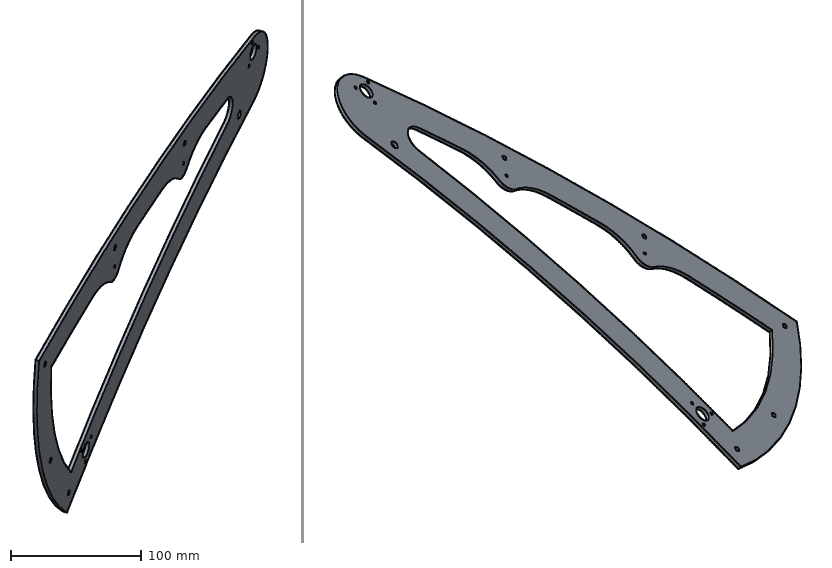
import cadquery as cq
import math


thickness = 3.175
length = 467.79
height = 208.55

frame_width = 28.575
mid_width = frame_width / 2
nose_radius = 33.34
nose_center_z = 37.7
top_radius = 1650.0
bottom_radius = 1236.0
end_radius = 238.125
end_center_z = 54.8
window_nose_radius = 13.1

lobe_radius = 12.7
lobe_blend_radius = 50.8
lobe_hole_drop = 19.05
lobe_places_u = (-65.4, 75.6)

bolt_hole_diameter = 4.04
pivot_hole_diameter = 6.35
hub_hole_diameter = 12.7
screw_hole_diameter = 2.38
screw_circle_radius = 11.4
screws_per_hub = 3
top_hub_u = -204.6
top_hub_screw_angle = 80.5
bottom_hub_u = 134.3
bottom_hub_screw_angle = 36.5
pivot_hole_u = -176.1
end_bolt_z = -21.8


def circle_crossing(center_a, radius_a, center_b, radius_b):
    """Crossing of two circles that lies to the right of the line from center a to center b."""
    du = center_b[0] - center_a[0]
    dz = center_b[1] - center_a[1]
    distance = math.hypot(du, dz)
    along = (radius_a**2 - radius_b**2 + distance**2) / (2 * distance)
    aside = math.sqrt(radius_a**2 - along**2)
    u = center_a[0] + (along * du + aside * dz) / distance
    z = center_a[1] + (along * dz - aside * du) / distance
    return (u, z)


def point_toward(center, target, radius):
    """Point at the given distance from center, in the direction of target."""
    scale = radius / math.dist(center, target)
    return (center[0] + scale * (target[0] - center[0]), center[1] + scale * (target[1] - center[1]))


def arc_middle(center, radius, start, end):
    """Middle of the shorter arc from start to end."""
    chord_middle = ((start[0] + end[0]) / 2, (start[1] + end[1]) / 2)
    return point_toward(center, chord_middle, radius)


def upper_point_at_u(center, radius, u):
    """Point of a circle's upper half at the given u."""
    return (u, center[1] + math.sqrt(radius**2 - (u - center[0]) ** 2))


nose_center = (-length / 2 + nose_radius, nose_center_z)
end_center = (length / 2 - end_radius, end_center_z)
top_center_z = height / 2 - top_radius
top_center_offset = math.sqrt((top_radius - nose_radius) ** 2 - (nose_center_z - top_center_z) ** 2)
top_center = (nose_center[0] + top_center_offset, top_center_z)

bottom_tip_z = -height / 2
bottom_tip = (
    end_center[0] + math.sqrt(end_radius**2 - (bottom_tip_z - end_center_z) ** 2),
    bottom_tip_z,
)
bottom_center = circle_crossing(nose_center, bottom_radius + nose_radius, bottom_tip, bottom_radius)

window_top_radius = top_radius - frame_width
window_bottom_radius = bottom_radius + frame_width
window_end_radius = end_radius - frame_width

top_mid_radius = top_radius - mid_width
bottom_mid_radius = bottom_radius + mid_width
end_mid_radius = end_radius - mid_width


def top_mid_point(u):
    return upper_point_at_u(top_center, top_mid_radius, u)


def bottom_mid_point(u):
    return upper_point_at_u(bottom_center, bottom_mid_radius, u)


def end_mid_point(z):
    return (end_center[0] + math.sqrt(end_mid_radius**2 - (z - end_center_z) ** 2), z)


lobe_bolts = [top_mid_point(u) for u in lobe_places_u]
lobe_centers = [point_toward(top_center, bolt, top_mid_radius - lobe_hole_drop) for bolt in lobe_bolts]


def frame_plane():
    return cq.Workplane(cq.Plane((thickness / 2, 0, 0), xDir=(0, -1, 0), normal=(-1, 0, 0)))


def draw_arc(sketch, center, radius, start, end):
    """Add the shorter arc from start, where the sketch now stands, to end."""
    return sketch.threePointArc(arc_middle(center, radius, start, end), end)


def make_plate():
    top_tangent = point_toward(top_center, nose_center, top_radius)
    bottom_tangent = point_toward(bottom_center, nose_center, bottom_radius)
    top_corner = circle_crossing(top_center, top_radius, end_center, end_radius)
    nose_tip = (-length / 2, nose_center_z)

    sketch = frame_plane().moveTo(*top_tangent)
    sketch = draw_arc(sketch, top_center, top_radius, top_tangent, top_corner)
    sketch = draw_arc(sketch, end_center, end_radius, top_corner, bottom_tip)
    sketch = draw_arc(sketch, bottom_center, bottom_radius, bottom_tip, bottom_tangent)
    sketch = sketch.threePointArc(nose_tip, top_tangent)
    return sketch.close().extrude(thickness)


def draw_lobe(sketch, start, lobe_center):
    """Follow the window's top arc to a lobe and go around it; return the sketch and its end point."""
    blend_path_radius = window_top_radius - lobe_blend_radius
    blend_reach = lobe_radius + lobe_blend_radius
    left_blend = circle_crossing(lobe_center, blend_reach, top_center, blend_path_radius)
    right_blend = circle_crossing(top_center, blend_path_radius, lobe_center, blend_reach)

    blend_start = point_toward(top_center, left_blend, window_top_radius)
    lobe_start = point_toward(lobe_center, left_blend, lobe_radius)
    lobe_end = point_toward(lobe_center, right_blend, lobe_radius)
    blend_end = point_toward(top_center, right_blend, window_top_radius)

    sketch = draw_arc(sketch, top_center, window_top_radius, start, blend_start)
    sketch = draw_arc(sketch, left_blend, lobe_blend_radius, blend_start, lobe_start)
    sketch = draw_arc(sketch, lobe_center, lobe_radius, lobe_start, lobe_end)
    sketch = draw_arc(sketch, right_blend, lobe_blend_radius, lobe_end, blend_end)
    return sketch, blend_end


def make_window():
    window_nose_center = circle_crossing(
        top_center,
        window_top_radius - window_nose_radius,
        bottom_center,
        window_bottom_radius + window_nose_radius,
    )
    top_tangent = point_toward(top_center, window_nose_center, window_top_radius)
    bottom_tangent = point_toward(bottom_center, window_nose_center, window_bottom_radius)
    window_nose_tip = (window_nose_center[0] - window_nose_radius, window_nose_center[1])
    top_corner = circle_crossing(top_center, window_top_radius, end_center, window_end_radius)
    bottom_corner = circle_crossing(bottom_center, window_bottom_radius, end_center, window_end_radius)

    sketch = frame_plane().moveTo(*top_tangent)
    position = top_tangent
    for lobe_center in lobe_centers:
        sketch, position = draw_lobe(sketch, position, lobe_center)
    sketch = draw_arc(sketch, top_center, window_top_radius, position, top_corner)
    sketch = draw_arc(sketch, end_center, window_end_radius, top_corner, bottom_corner)
    sketch = draw_arc(sketch, bottom_center, window_bottom_radius, bottom_corner, bottom_tangent)
    sketch = sketch.threePointArc(window_nose_tip, top_tangent)
    return sketch.close().extrude(thickness)


def make_holes(points, diameter):
    return frame_plane().pushPoints(points).circle(diameter / 2).extrude(thickness)


def screw_points(hub, first_angle):
    """Screw places evenly spaced around a hub hole."""
    points = []
    for index in range(screws_per_hub):
        angle = math.radians(first_angle + index * 360 / screws_per_hub)
        u = hub[0] + screw_circle_radius * math.cos(angle)
        z = hub[1] + screw_circle_radius * math.sin(angle)
        points.append((u, z))
    return points


top_hub = top_mid_point(top_hub_u)
bottom_hub = bottom_mid_point(bottom_hub_u)
hub_screws = screw_points(top_hub, top_hub_screw_angle) + screw_points(bottom_hub, bottom_hub_screw_angle)

top_corner_bolt = circle_crossing(top_center, top_mid_radius, end_center, end_mid_radius)
bottom_corner_bolt = circle_crossing(bottom_center, bottom_mid_radius, end_center, end_mid_radius)
end_bolts = [top_corner_bolt, end_mid_point(end_bolt_z), bottom_corner_bolt]

result = make_plate().cut(make_window())
result = result.cut(make_holes(lobe_bolts + end_bolts, bolt_hole_diameter))
result = result.cut(make_holes([bottom_mid_point(pivot_hole_u)], pivot_hole_diameter))
result = result.cut(make_holes([top_hub, bottom_hub], hub_hole_diameter))
result = result.cut(make_holes(hub_screws + lobe_centers, screw_hole_diameter))